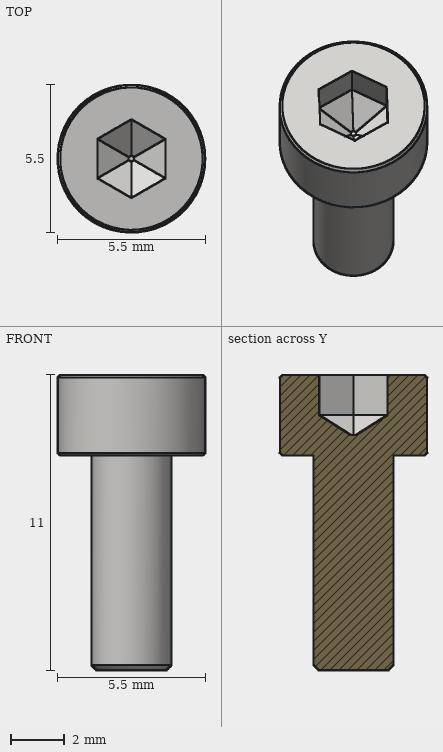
import cadquery as cq
import math

total_length = 11.0
head_diameter = 5.5
head_height = 3.0
head_chamfer = 0.1
shank_diameter = 2.99
tip_chamfer = 0.2
socket_across_flats = 2.53
socket_depth = 1.5
socket_point_height = 0.74
socket_point_flat = 0.2

shank_length = total_length - head_height


def make_head():
    blank = cq.Workplane("XY").circle(head_diameter / 2).extrude(head_height)
    return blank.faces("<Z or >Z").edges().chamfer(head_chamfer)


def make_shank():
    blank = cq.Workplane("XY").circle(shank_diameter / 2).extrude(-shank_length)
    return blank.faces("<Z").edges().chamfer(tip_chamfer)


def hexagon(workplane, across_flats):
    """Hexagon with flats facing +X and -X."""
    across_corners = across_flats / math.cos(math.pi / 6)
    return workplane.transformed(rotate=(0, 0, 90)).polygon(6, across_corners)


def make_socket():
    floor = cq.Workplane("XY").workplane(offset=head_height - socket_depth)
    walls = hexagon(floor, socket_across_flats).extrude(socket_depth)
    taper_angle = math.degrees(
        math.atan2((socket_across_flats - socket_point_flat) / 2, socket_point_height)
    )
    point = hexagon(floor, socket_across_flats).extrude(-socket_point_height, taper=taper_angle)
    return walls.union(point)


result = make_head().union(make_shank()).cut(make_socket())